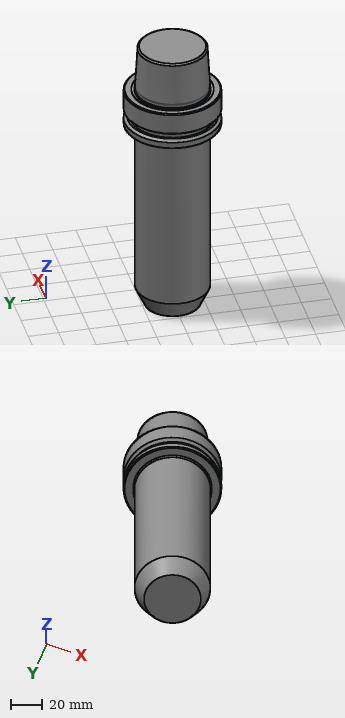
import cadquery as cq

total_height = 191.9
shank_length = 32.0
flange_height = 26.1
nose_height = 13.0
flange_top = total_height - shank_length
flange_bottom = flange_top - flange_height

body_radius = 24.4
nose_radius = 18.2
collar_radius = 25.3
collar_height = 1.0

flange_radius = 31.5
flange_chamfer = 0.8
lip_edge = 138.5
groove_bottom = 140.0
groove_top = 143.7
groove_upper_edge = 145.5
groove_mouth_radius = 29.4
groove_radius = 27.6

recess_radius = 26.5
recess_depth = 0.4
root_radius = 24.0
root_flare_radius = 24.5
root_flare_height = 0.5
root_height = 2.5
taper_base_height = 3.3
taper_base_radius = 24.2
taper_top_radius = 22.6
tip_radius = 21.5
tip_height = 1.2

profile = [
    (0, 0),
    (nose_radius, 0),
    (body_radius, nose_height),
    (body_radius, flange_bottom - collar_height),
    (collar_radius, flange_bottom),
    (flange_radius - flange_chamfer, flange_bottom),
    (flange_radius, flange_bottom + flange_chamfer),
    (flange_radius, lip_edge),
    (groove_mouth_radius, groove_bottom),
    (groove_radius, groove_bottom),
    (groove_radius, groove_top),
    (groove_mouth_radius, groove_top),
    (flange_radius, groove_upper_edge),
    (flange_radius, flange_top - flange_chamfer),
    (flange_radius - flange_chamfer, flange_top),
    (recess_radius, flange_top),
    (recess_radius, flange_top - recess_depth),
    (root_flare_radius, flange_top - recess_depth),
    (root_radius, flange_top - recess_depth + root_flare_height),
    (root_radius, flange_top + root_height),
    (taper_base_radius, flange_top + taper_base_height),
    (taper_top_radius, total_height - tip_height),
    (tip_radius, total_height),
    (0, total_height),
]

result = cq.Workplane("XZ").polyline(profile).close().revolve(360, (0, 0, 0), (0, 1, 0))